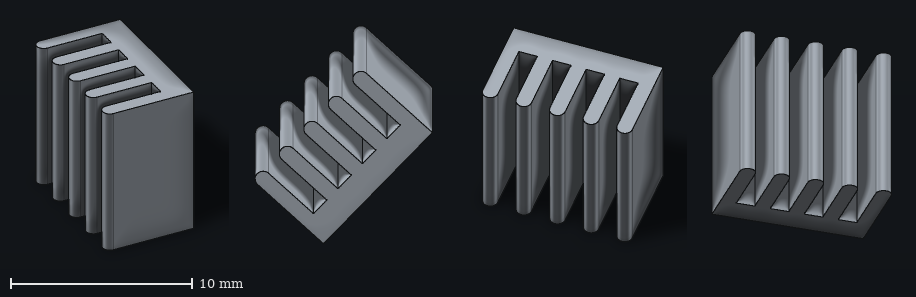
import cadquery as cq

width = 8.8
depth = 5.45
height = 8.8

base_thickness = 1.6
fin_count = 5
fin_thickness = 0.9
fin_pitch = (width - fin_thickness) / (fin_count - 1)

tip_radius = fin_thickness / 2
back_y = depth / 2
tip_start_y = -depth / 2 + tip_radius
tip_y = -depth / 2


def make_base():
    """Flat plate along the +Y side, standing on Z = 0."""
    return cq.Workplane("XY").box(
        width, base_thickness, height, centered=(True, True, False)
    ).translate((0, back_y - base_thickness / 2, 0))


def make_fin(center_x):
    """Upright fin rooted at the back face, with a rounded free edge."""
    left_x = center_x - fin_thickness / 2
    right_x = center_x + fin_thickness / 2
    return (
        cq.Workplane("XY")
        .moveTo(left_x, back_y)
        .lineTo(left_x, tip_start_y)
        .threePointArc((center_x, tip_y), (right_x, tip_start_y))
        .lineTo(right_x, back_y)
        .close()
        .extrude(height)
    )


result = make_base()
for index in range(fin_count):
    fin_x = (index - (fin_count - 1) / 2) * fin_pitch
    result = result.union(make_fin(fin_x))
result = result.clean()